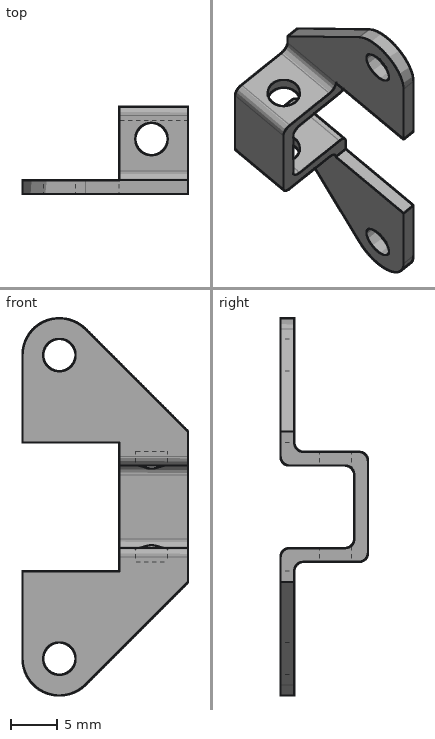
import cadquery as cq
import math

width = 18.0
depth = 9.5
height = 41.0
thickness = 1.5

ear_radius = 4.0
hole_diameter = 3.5
ear_center_z = height / 2 - ear_radius

channel_half_height = 6.0
bend_radius = 1.0
bridge_width = 7.5
notch_half_height = channel_half_height + bend_radius
bridge_left = width - bridge_width

channel_hole_x = 14.0
channel_hole_y = 6.0


def bent_strip():
    """Hat-shaped strip of constant thickness, extruded over the full width."""
    half_height = height / 2
    inner_half_height = channel_half_height - thickness
    profile = [
        (0, half_height),
        (0, inner_half_height),
        (depth - thickness, inner_half_height),
        (depth - thickness, -inner_half_height),
        (0, -inner_half_height),
        (0, -half_height),
        (thickness, -half_height),
        (thickness, -channel_half_height),
        (depth, -channel_half_height),
        (depth, channel_half_height),
        (thickness, channel_half_height),
        (thickness, half_height),
    ]
    strip = cq.Workplane("YZ").polyline(profile).close().extrude(width)
    return strip.edges("|X and (not (>Z or <Z))").fillet(bend_radius)


def front_outline():
    """Bracket silhouette: rounded ears, 45 degree flanks and a notched left side."""
    diagonal = ear_radius * math.sqrt(0.5)
    tangent_x = ear_radius + diagonal
    tangent_z = ear_center_z + diagonal
    flank_end_z = tangent_z - (width - tangent_x)
    arc_mid = (ear_radius, height / 2)
    return (
        cq.Workplane("XZ")
        .moveTo(bridge_left, -notch_half_height)
        .lineTo(bridge_left, notch_half_height)
        .lineTo(0, notch_half_height)
        .lineTo(0, ear_center_z)
        .threePointArc(arc_mid, (tangent_x, tangent_z))
        .lineTo(width, flank_end_z)
        .lineTo(width, -flank_end_z)
        .lineTo(tangent_x, -tangent_z)
        .threePointArc((arc_mid[0], -arc_mid[1]), (0, -ear_center_z))
        .lineTo(0, -notch_half_height)
        .close()
        .extrude(-depth)
    )


def ear_holes():
    """Mounting holes concentric with the rounded ears."""
    centers = [(ear_radius, side * ear_center_z) for side in (1, -1)]
    return cq.Workplane("XZ").pushPoints(centers).circle(hole_diameter / 2).extrude(-thickness)


def channel_hole():
    """One vertical hole through both channel walls."""
    return (
        cq.Workplane("XY", origin=(channel_hole_x, channel_hole_y, 0))
        .circle(hole_diameter / 2)
        .extrude(channel_half_height, both=True)
    )


result = bent_strip().intersect(front_outline()).cut(ear_holes()).cut(channel_hole())